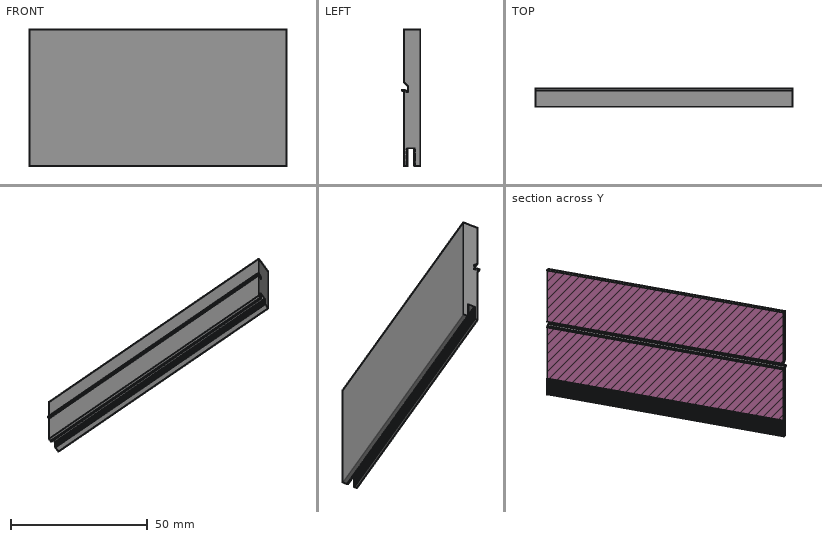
import cadquery as cq

length = 94.0
height = 50.0
panel_depth = 6.0
lip_reach = 0.78
edge_fillet = 0.1

depth_with_lip = panel_depth + lip_reach
front = -depth_with_lip / 2
back = front + panel_depth
bottom = -height / 2
top = height / 2

front_wall = 2.0
slot_width = 3.0
tooth_depth = 0.4
tooth_pitch = 0.5
tooth_flat = 0.11
tooth_count = 13

slot_front = front + front_wall
slot_back = slot_front + slot_width

notch_depth = 1.5
notch_mouth_drop = 19.4
notch_floor_drop = 22.9

notch_root = back - notch_depth
notch_mouth = top - notch_mouth_drop
notch_floor = top - notch_floor_drop

lip_drop = 22.1
lip_thickness = 0.6
lip_tip_chamfer = 0.3
hook_crest_inset = 0.3
hook_gap = 0.6
hook_step = 0.4

lip_top = top - lip_drop
lip_tip = back + lip_reach
lip_underside = lip_top - lip_thickness
hook_crest = back - hook_crest_inset
hook_inner = notch_root + hook_gap


def extruded_profile(points):
    """Solid of the full panel length from (Y, Z) outline points."""
    return cq.Workplane("YZ").polyline(points).close().extrude(length / 2, both=True)


def panel():
    corners = [(front, bottom), (back, bottom), (back, top), (front, top)]
    return extruded_profile(corners).faces("<Y").edges("|X").fillet(edge_fillet)


def toothed_wall(start_y, other_y):
    """Points up one slot wall, with flats alternating between two Y positions."""
    half_pitch = tooth_pitch / 2
    half_flat = tooth_flat / 2
    last_step = 2 * tooth_count
    points = [(start_y, bottom), (start_y, bottom + half_flat)]
    for step in range(1, last_step):
        flat_y = other_y if step % 2 else start_y
        flat_centre = bottom + step * half_pitch
        points.append((flat_y, flat_centre - half_flat))
        points.append((flat_y, flat_centre + half_flat))
    slot_top = bottom + last_step * half_pitch
    return points + [(start_y, slot_top - half_flat), (start_y, slot_top)]


def toothed_slot():
    front_teeth = toothed_wall(slot_front, slot_front + tooth_depth)
    back_teeth = toothed_wall(slot_back - tooth_depth, slot_back)
    return extruded_profile(front_teeth + back_teeth[::-1])


def notch():
    """Notch with a 45 degree upper face and a narrow groove behind the hook."""
    return extruded_profile([
        (back, notch_mouth),
        (notch_root, notch_mouth - notch_depth),
        (notch_root, notch_floor),
        (hook_inner, notch_floor),
        (hook_inner, notch_floor + hook_step),
        (hook_crest, lip_top),
        (back, lip_top),
    ])


def lip():
    """Lip standing out from the back face, its lower tip edge chamfered."""
    return extruded_profile([
        (hook_crest, lip_top),
        (lip_tip, lip_top),
        (lip_tip, lip_underside + lip_tip_chamfer),
        (lip_tip - lip_tip_chamfer, lip_underside),
        (hook_crest, lip_underside),
    ])


result = panel().cut(toothed_slot()).cut(notch()).union(lip())